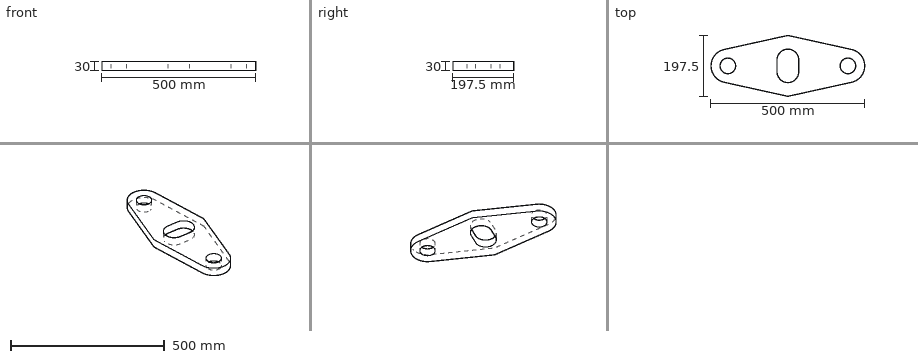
import cadquery as cq
import math

length = 500.0
width = 197.5
thickness = 30.0

end_radius = 55.0
hole_diameter = 50.0
hole_offset = length / 2 - end_radius

flat_width = 5.0

slot_width = 70.0
slot_length = 108.0

corner_x = flat_width / 2
corner_y = width / 2
run = hole_offset - corner_x
corner_distance = math.hypot(run, corner_y)
tangent_angle = math.atan2(corner_y, -run) - math.acos(end_radius / corner_distance)
tangent_x = hole_offset + end_radius * math.cos(tangent_angle)
tangent_y = end_radius * math.sin(tangent_angle)


def make_plate():
    return (
        cq.Workplane("XY")
        .moveTo(-corner_x, corner_y)
        .lineTo(corner_x, corner_y)
        .lineTo(tangent_x, tangent_y)
        .threePointArc((length / 2, 0), (tangent_x, -tangent_y))
        .lineTo(corner_x, -corner_y)
        .lineTo(-corner_x, -corner_y)
        .lineTo(-tangent_x, -tangent_y)
        .threePointArc((-length / 2, 0), (-tangent_x, tangent_y))
        .close()
        .extrude(thickness)
    )


def cut_openings(plate):
    top = plate.faces(">Z").workplane(origin=(0, 0, thickness))
    drilled = top.pushPoints([(-hole_offset, 0), (hole_offset, 0)]).hole(hole_diameter)
    slot_plane = drilled.faces(">Z").workplane(origin=(0, 0, thickness))
    return slot_plane.slot2D(slot_length, slot_width, angle=90).cutThruAll()


result = cut_openings(make_plate())